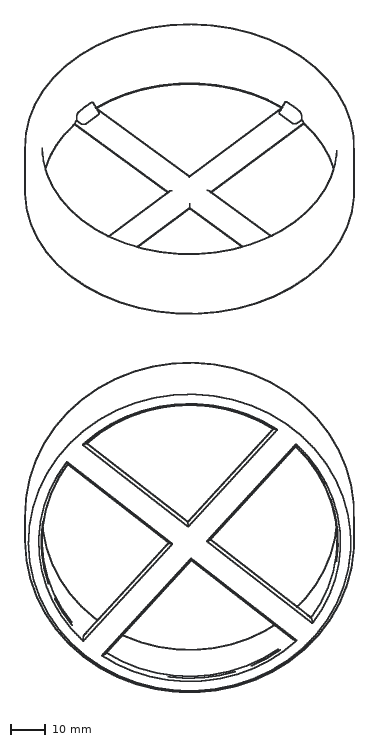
import cadquery as cq
import math

outer_diameter = 96.0
inner_diameter = 86.0
ring_height = 22.0
ring_edge_radius = 1.0

bar_width = 8.5
bar_thickness = 2.0
bar_edge_radius = 0.7

gusset_width = bar_width - 2 * bar_edge_radius
gusset_reach = 3.0
gusset_height = 3.0
gusset_edge_radius = 1.0

inner_radius = inner_diameter / 2
wall_thickness = (outer_diameter - inner_diameter) / 2
wall_mid_radius = inner_radius + wall_thickness / 2
bar_count = 2
gusset_count = 4


def rounded_section(plane, center, width, height, radius):
    """Closed section standing on the plane's horizontal axis.

    The top corners are quarter rounds. Each bottom corner is a 45 degree chamfer
    as wide as the radius, blended into the side by an arc of that radius.
    """
    diagonal = radius * math.sin(math.pi / 4)
    halfway = math.pi / 8
    side = width / 2
    flat = side - radius
    blend_top = 2 * diagonal
    arc_mid_x = flat + radius * math.cos(halfway)
    arc_mid_z = blend_top - radius * math.sin(halfway)
    round_mid_z = height - radius + diagonal
    return (
        cq.Workplane(plane)
        .center(center, 0)
        .moveTo(-flat, 0)
        .lineTo(flat, 0)
        .lineTo(flat + diagonal, diagonal)
        .threePointArc((arc_mid_x, arc_mid_z), (side, blend_top))
        .lineTo(side, height - radius)
        .threePointArc((flat + diagonal, round_mid_z), (flat, height))
        .lineTo(-flat, height)
        .threePointArc((-flat - diagonal, round_mid_z), (-side, height - radius))
        .lineTo(-side, blend_top)
        .threePointArc((-arc_mid_x, arc_mid_z), (-flat - diagonal, diagonal))
        .close()
    )


def make_ring():
    """Ring wall, turned about the Z axis."""
    section = rounded_section("XZ", wall_mid_radius, wall_thickness, ring_height, ring_edge_radius)
    return section.revolve(360, (-wall_mid_radius, 0), (-wall_mid_radius, 1))


def make_bar():
    """Bar along X, ending inside the ring wall."""
    section = rounded_section("YZ", 0, bar_width, bar_thickness, bar_edge_radius)
    return section.extrude(wall_mid_radius, both=True)


def make_gusset():
    """Wedge on the +X end of a bar, with the sides of its sloped face rounded."""
    tip = inner_radius - gusset_reach
    buried_height = gusset_height / gusset_reach * (wall_mid_radius - tip)
    wedge = (
        cq.Workplane("XZ")
        .moveTo(tip, bar_thickness)
        .lineTo(wall_mid_radius, bar_thickness)
        .lineTo(wall_mid_radius, bar_thickness + buried_height)
        .close()
        .extrude(gusset_width / 2, both=True)
    )
    sloped_sides = wedge.edges("not (|X or |Y or |Z)")
    return sloped_sides.fillet(gusset_edge_radius)


def turned(shape, angle):
    """Shape turned about the ring axis."""
    return shape.rotate((0, 0, 0), (0, 0, 1), angle)


result = make_ring()
for index in range(bar_count):
    result = result.union(turned(make_bar(), index * 180 / bar_count))
for index in range(gusset_count):
    result = result.union(turned(make_gusset(), index * 360 / gusset_count))